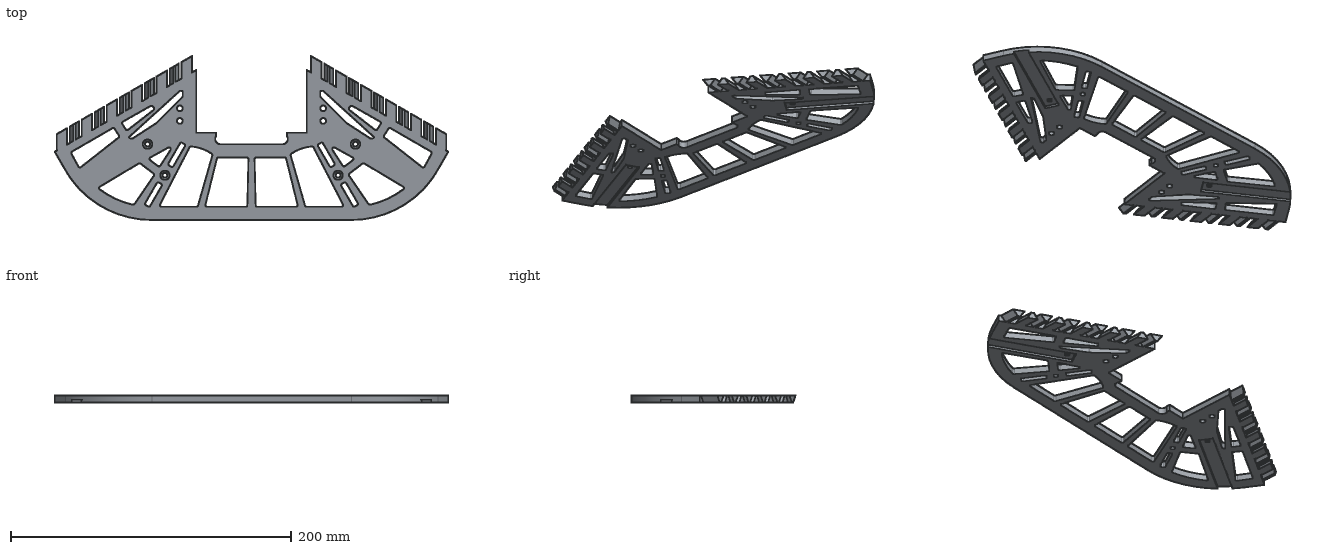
import cadquery as cq
import math

length = 280.8
depth = 117.0
thickness = 5.0
half_length = length / 2
wing_angle = 30.0
slope = math.tan(math.radians(wing_angle))
cos_wing = math.cos(math.radians(wing_angle))
sin_wing = math.sin(math.radians(wing_angle))

rim_radius = 71.3
rim_width = 9.5
rim_centre_x = -71.0
rim_centre = (rim_centre_x, rim_radius)
rim_end = (rim_centre_x - rim_radius * cos_wing, rim_radius * (1 - sin_wing))
tip_y = rim_end[1] + (half_length + rim_end[0]) / slope

wing_inner_x = -39.3
ledge_y = 62.3
ledge_end_x = -25.3
bridge_y = 54.2
relief_radius = 3.7
relief_x = -22.2
relief_y = bridge_y + relief_radius
relief_start_y = relief_y + math.sqrt(relief_radius**2 - (relief_x - ledge_end_x) ** 2)

tooth_count = 6
first_tooth_x = -139.0
last_tooth_end = -42.5
tooth_wide = 7.5
tooth_narrow = 1.7
tooth_pitch = (last_tooth_end - first_tooth_x - tooth_wide) / (tooth_count - 1)
finger_overlap = 1.5
tongue_wide = 6.7
tongue_narrow = 1.7

pin_radius = 2.0
pin_holes = [(-51.0, 79.7), (-51.0, 70.8)]
screw_radius = 1.7
head_radius = 3.5
head_angle = 90
screw_holes = [(-74.0, 54.2), (-61.8, 32.0)]

channel_width = 10.5
channel_depth = 2.0

corner_radius = 1.0
sharp_corner_radius = 0.5
edge_window = [(-129.0, 48.3), (-98.3, 66.0), (-94.0, 59.5), (-122.7, 37.0)]
wedge_window = [(-92.7, 69.5), (-71.3, 81.7), (-68.8, 79.5), (-89.0, 63.7)]
blade_window = [
    (-88.0, 58.7), (-51.0, 92.0), (-49.0, 92.0),
    (-49.0, 88.0), (-67.7, 69.4), (-85.0, 58.0),
]
triangle_window = [(-73.5, 43.8), (-55.3, 54.0), (-65.7, 38.0)]
front_window = [(-33.0, rim_width), (-24.5, 44.6), (-2.2, 44.6), (-3.0, rim_width)]
rim_window_rear = (-79.7, 40.7)
rim_window_inner = (-69.0, 32.5)
rim_window_angles = (231.5, 258)
arch_front_left = (-66.0, rim_width)
arch_start = (-43.8, 52.5)
arch_middle = (-35.5, 50.8)
arch_end = (-27.8, 47.0)
arch_front_right = (-38.5, rim_width)

slot_length = 18.5
slot_width = 4.0
slots = [(-53.4, 46.5), (-70.0, 18.3)]


def root_y(x):
    """Height of the line on which the teeth stand."""
    return tip_y + (x + half_length) * slope


tooth_rise = depth - root_y(last_tooth_end)


def rim_point(radius, angle):
    """Point on a circle about the rim centre, with the angle in degrees."""
    turn = math.radians(angle)
    return (rim_centre[0] + radius * math.cos(turn), rim_centre[1] + radius * math.sin(turn))


def half_plate():
    """Left half of the plate without teeth or openings."""
    return (
        cq.Workplane("XY")
        .moveTo(0, 0)
        .lineTo(rim_centre_x, 0)
        .threePointArc(rim_point(rim_radius, 270 - wing_angle), rim_end)
        .lineTo(-half_length, tip_y)
        .lineTo(wing_inner_x, root_y(wing_inner_x))
        .lineTo(wing_inner_x, ledge_y)
        .lineTo(ledge_end_x, ledge_y)
        .lineTo(ledge_end_x, relief_start_y)
        .threePointArc((relief_x - relief_radius, relief_y), (relief_x, bridge_y))
        .lineTo(0, bridge_y)
        .close()
        .extrude(thickness)
    )


def finger(centre_x, bottom_width, top_width):
    """Finger on the toothed edge whose width changes evenly from the underside to the top."""
    section = [
        (centre_x - bottom_width / 2, 0),
        (centre_x + bottom_width / 2, 0),
        (centre_x + top_width / 2, thickness),
        (centre_x - top_width / 2, thickness),
    ]
    slab = cq.Workplane("XZ").polyline(section).close().extrude(-depth)
    left = centre_x - tooth_wide
    right = centre_x + tooth_wide
    strip = (
        cq.Workplane("XY")
        .polyline([
            (left, root_y(left) - finger_overlap),
            (right, root_y(right) - finger_overlap),
            (right, root_y(right) + tooth_rise),
            (left, root_y(left) + tooth_rise),
        ])
        .close()
        .extrude(thickness)
    )
    return slab.intersect(strip)


def window(points, radius=corner_radius):
    """Straight-sided window with rounded corners."""
    return cq.Workplane("XY").polyline(points).close().extrude(thickness).edges("|Z").fillet(radius)


def rim_window():
    """Window whose outer side follows the curved rim."""
    inner_radius = rim_radius - rim_width
    start, end = rim_window_angles
    return (
        cq.Workplane("XY")
        .moveTo(*rim_window_rear)
        .lineTo(*rim_point(inner_radius, start))
        .threePointArc(rim_point(inner_radius, (start + end) / 2), rim_point(inner_radius, end))
        .lineTo(*rim_window_inner)
        .close()
        .extrude(thickness)
        .edges("|Z")
        .fillet(corner_radius)
    )


def arched_window():
    """Window beside the wing, with an arched rear side."""
    return (
        cq.Workplane("XY")
        .moveTo(*arch_front_left)
        .lineTo(*arch_start)
        .threePointArc(arch_middle, arch_end)
        .lineTo(*arch_front_right)
        .close()
        .extrude(thickness)
        .edges("|Z")
        .fillet(corner_radius)
    )


def slot(centre):
    """Narrow slot at right angles to the leg channel."""
    return (
        cq.Workplane("XY")
        .rect(slot_length, slot_width)
        .extrude(thickness)
        .edges("|Z")
        .fillet(corner_radius)
        .rotate((0, 0, 0), (0, 0, 1), 90 - wing_angle)
        .translate((centre[0], centre[1], 0))
    )


def leg_channel():
    """Groove from the rim to just past the first screw hole."""
    overrun = channel_width / 2
    return (
        cq.Workplane("XY")
        .rect(half_length, channel_width)
        .extrude(channel_depth)
        .translate((overrun - half_length / 2, 0, 0))
        .rotate((0, 0, 0), (0, 0, 1), wing_angle)
        .translate((screw_holes[0][0], screw_holes[0][1], 0))
    )


half = half_plate()
for i in range(tooth_count):
    tooth_x = first_tooth_x + tooth_wide / 2 + i * tooth_pitch
    half = half.union(finger(tooth_x, tooth_narrow, tooth_wide))
    if i < tooth_count - 1:
        half = half.union(finger(tooth_x + tooth_pitch / 2, tongue_wide, tongue_narrow))

openings = [
    window(edge_window),
    window(wedge_window),
    window(blade_window, sharp_corner_radius),
    window(triangle_window),
    window(front_window),
    rim_window(),
    arched_window(),
    leg_channel(),
]
openings += [slot(centre) for centre in slots]
for opening in openings:
    half = half.cut(opening)

half = half.cut(cq.Workplane("XY").pushPoints(pin_holes).circle(pin_radius).extrude(thickness))
half = (
    half.faces(">Z").workplane(origin=(0, 0, thickness))
    .pushPoints(screw_holes)
    .cskHole(2 * screw_radius, 2 * head_radius, head_angle)
)

result = half.union(half.mirror("YZ"))